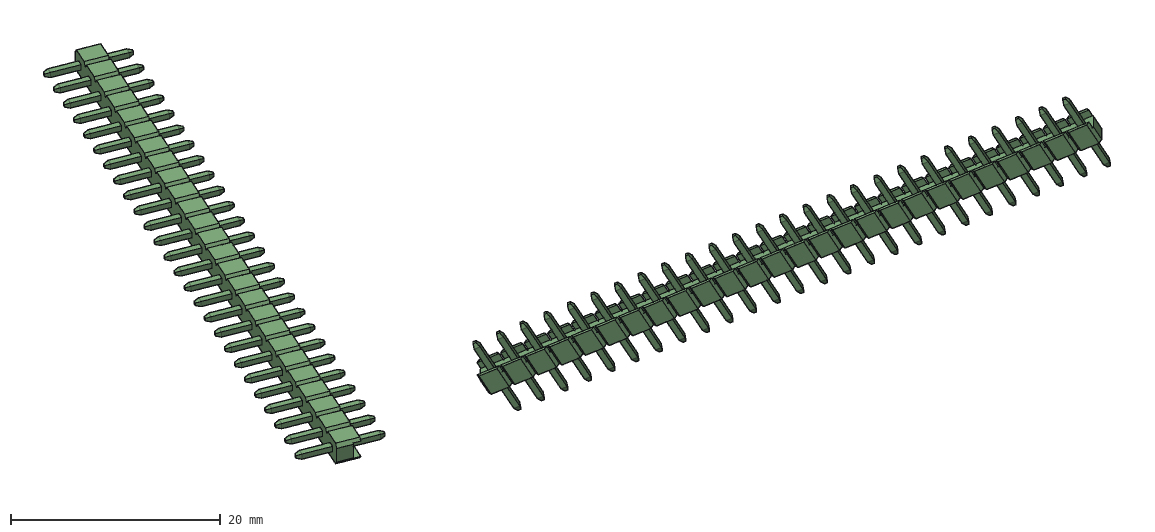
import cadquery as cq

pin_count = 26
strip_length = 66.05
pitch = strip_length / pin_count
housing_height = 2.5
housing_depth = 2.5

bevel_width = 0.3
bevel_height = 0.43

channel_depth = 0.8
channel_height = 1.85

pin_width = 0.64
pin_front_length = 3.7
pin_back_length = 3.0
pin_offset = -0.1
tip_length = 0.5
tip_width = 0.32

front_y = -housing_depth / 2
back_y = housing_depth / 2
cell_centers = [(i - (pin_count - 1) / 2) * pitch for i in range(pin_count)]


def strip_housing():
    """Strip of beveled cells with the open channel along its back."""
    half_width = pitch / 2
    half_height = housing_height / 2
    flat_half_width = half_width - bevel_width
    side_half_height = half_height - bevel_height

    upper_outline = []
    for x in cell_centers:
        upper_outline += [
            (x - half_width, side_half_height),
            (x - flat_half_width, half_height),
            (x + flat_half_width, half_height),
        ]
    upper_outline.append((strip_length / 2, side_half_height))
    lower_outline = [(x, -z) for x, z in reversed(upper_outline)]

    strip = (
        cq.Workplane("XZ", origin=(0, back_y, 0))
        .polyline(upper_outline + lower_outline)
        .close()
        .extrude(housing_depth)
    )
    channel = (
        cq.Workplane("XY")
        .box(strip_length, channel_depth, channel_height)
        .translate((0, back_y - channel_depth / 2, 0))
    )
    return strip.cut(channel)


def pin_tip(base_y, direction):
    """Tip narrowing from base_y toward +Y (direction 1) or -Y (direction -1)."""
    base_plane = cq.Plane(origin=(0, base_y, 0), xDir=(1, 0, 0), normal=(0, direction, 0))
    return (
        cq.Workplane(base_plane)
        .rect(pin_width, pin_width)
        .workplane(offset=tip_length)
        .rect(tip_width, tip_width)
        .loft(ruled=True)
    )


def tapered_pin():
    """Square pin running along Y at X = 0, pointed at both ends."""
    shank_front = front_y - pin_front_length + tip_length
    shank_back = back_y + pin_back_length - tip_length
    shank = (
        cq.Workplane("XY")
        .box(pin_width, shank_back - shank_front, pin_width)
        .translate((0, (shank_front + shank_back) / 2, 0))
    )
    return shank.union(pin_tip(shank_front, -1)).union(pin_tip(shank_back, 1))


def pin_row():
    """One pin for every cell of the strip."""
    pin = tapered_pin().val()
    pin_positions = [(x + pin_offset, 0) for x in cell_centers]
    return (
        cq.Workplane("XY")
        .pushPoints(pin_positions)
        .eachpoint(lambda location: pin.moved(location), combine=False)
    )


result = strip_housing().union(pin_row())